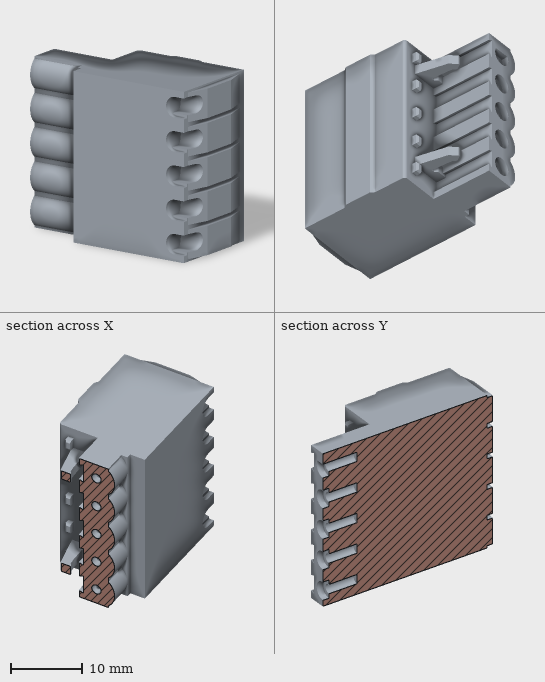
import cadquery as cq
import math

POLES = 5
LENGTH = 29.2
HEIGHT = 25.0
PITCH = HEIGHT / POLES

HOUSING_BACK_X = 28.25
HOUSING_TOP_Y = 14.57
FRONT_X = 10.05
FLANGE_X = 8.38
STEP_X = 9.15
FRONT_EDGE_RADIUS = 0.5
RIDGE_Y = 15.0
RIDGE_START_X = 15.48
RIDGE_END_X = 21.02
RIDGE_SLOPE_X = 0.6

PLUG_BOTTOM_Y = 2.37
PLUG_TOP_Y = 8.2
BARREL_VALLEY_Y = 3.4
BARREL_WIDTH = 4.3
SOCKET_Y = 5.37
SOCKET_RADIUS = 1.45
SOCKET_DEPTH = 1.02
CONTACT_RADIUS = 0.73
CONTACT_DEPTH = 5.85
KEYWAY_FLOOR_Y = 7.53
KEYWAY_FLOOR_WIDTH = 2.98
KEYWAY_MOUTH_WIDTH = 2.5

LUG_LENGTH = 1.02
LUG_BOTTOM_Y = 12.15
LUG_THICKNESS = 0.88
LUG_WIDTH = 1.6
LUG_CHAMFER = 0.25

HOOK_WIDTH = 1.55
HOOK_SPACING = 16.61
HOOK_TOP_Y = 12.4
HOOK_PROFILE = [
    (4.9, 11.25),
    (3.85, 10.22),
    (3.85, 10.05),
    (4.58, 9.52),
    (4.95, 9.55),
    (5.29, 9.85),
    (6.3, 9.95),
    (8.82, 10.05),
    (8.82, 9.6),
    (8.55, 9.4),
    (8.38, 9.2),
]

PAD_WIDTH = 4.3
PAD_BOTTOM_Y = 1.0
PAD_TOP_Y = 13.52
PAD_FLAT_BOTTOM_Y = 4.45
PAD_FLAT_TOP_Y = 10.13

ENTRY_START_X = 25.17
ENTRY_RADIUS = 1.52
ENTRY_LEDGE_Y = 0.75
ENTRY_LEDGE_OFFSET = 1.1
ENTRY_CREST_OFFSET = 0.32
ENTRY_DEPTH_Y = 3.62

pole_heights = [PITCH * (i + 0.5) for i in range(POLES)]


def plate(points, bottom_z, thickness):
    """Closed XY outline extruded upwards from bottom_z."""
    return cq.Workplane("XY").workplane(offset=bottom_z).polyline(points).close().extrude(thickness)


def make_housing():
    outline = [
        (0, PLUG_BOTTOM_Y),
        (STEP_X, PLUG_BOTTOM_Y),
        (STEP_X, 0),
        (HOUSING_BACK_X, 0),
        (HOUSING_BACK_X, HOUSING_TOP_Y),
        (RIDGE_END_X, HOUSING_TOP_Y),
        (RIDGE_END_X - RIDGE_SLOPE_X, RIDGE_Y),
        (RIDGE_START_X + RIDGE_SLOPE_X, RIDGE_Y),
        (RIDGE_START_X, HOUSING_TOP_Y),
        (FRONT_X, HOUSING_TOP_Y),
        (FRONT_X, PLUG_TOP_Y),
        (0, PLUG_TOP_Y),
    ]
    front_edge = cq.selectors.NearestToPointSelector((FRONT_X, HOUSING_TOP_Y, HEIGHT / 2))
    return plate(outline, 0, HEIGHT).edges(front_edge).fillet(FRONT_EDGE_RADIUS)


def make_pad(z):
    outline = [
        (HOUSING_BACK_X, PAD_BOTTOM_Y),
        (LENGTH, PAD_FLAT_BOTTOM_Y),
        (LENGTH, PAD_FLAT_TOP_Y),
        (HOUSING_BACK_X, PAD_TOP_Y),
    ]
    return plate(outline, z - PAD_WIDTH / 2, PAD_WIDTH)


def make_lug(z):
    lug = cq.Workplane("XY").box(LUG_LENGTH, LUG_THICKNESS, LUG_WIDTH, centered=(False, False, True))
    lug = lug.faces("<X").edges("not <Y").chamfer(LUG_CHAMFER)
    return lug.translate((FRONT_X - LUG_LENGTH, LUG_BOTTOM_Y, z))


def make_hook(z):
    root_x = HOOK_PROFILE[-1][0]
    outline = [
        (FRONT_X, HOOK_TOP_Y),
        *HOOK_PROFILE,
        (root_x, KEYWAY_FLOOR_Y),
        (FRONT_X, KEYWAY_FLOOR_Y),
    ]
    return plate(outline, z - HOOK_WIDTH / 2, HOOK_WIDTH)


def make_barrel_gaps():
    """Space left around the rounded barrels on the underside of the plug."""
    half_width = BARREL_WIDTH / 2
    gaps = cq.Workplane("XY").box(FLANGE_X, BARREL_VALLEY_Y, HEIGHT, centered=False)
    for z in pole_heights:
        barrel = (
            cq.Workplane("YZ")
            .moveTo(BARREL_VALLEY_Y, z - half_width)
            .threePointArc((PLUG_BOTTOM_Y, z), (BARREL_VALLEY_Y, z + half_width))
            .close()
            .extrude(FLANGE_X)
        )
        gaps = gaps.cut(barrel)
    return gaps


def make_socket(z, keyed):
    """Stepped contact bore; the keyed one has a flat level with the top of the contact bore."""
    mouth = cq.Workplane("YZ").center(SOCKET_Y, z).circle(SOCKET_RADIUS).extrude(SOCKET_DEPTH)
    if keyed:
        size = 2 * SOCKET_RADIUS
        key = cq.Workplane("XY").box(size, size, size, centered=(True, True, False))
        mouth = mouth.cut(key.translate((0, SOCKET_Y, z + CONTACT_RADIUS)))
    contact = cq.Workplane("YZ").center(SOCKET_Y, z).circle(CONTACT_RADIUS).extrude(CONTACT_DEPTH)
    return mouth.union(contact)


def make_keyway(z):
    """Dovetail groove in the upper side of the plug."""
    return (
        cq.Workplane("YZ")
        .polyline([
            (KEYWAY_FLOOR_Y, z - KEYWAY_FLOOR_WIDTH / 2),
            (KEYWAY_FLOOR_Y, z + KEYWAY_FLOOR_WIDTH / 2),
            (PLUG_TOP_Y, z + KEYWAY_MOUTH_WIDTH / 2),
            (PLUG_TOP_Y, z - KEYWAY_MOUTH_WIDTH / 2),
        ])
        .close()
        .extrude(FRONT_X)
    )


def make_wire_entry(z):
    """Round-ended pocket with a trough along X for a floor and a ledge on its lower side."""
    centre_x = ENTRY_START_X + ENTRY_RADIUS
    crest_z = z + ENTRY_CREST_OFFSET
    ledge_z = z - ENTRY_LEDGE_OFFSET
    upper_z = z + ENTRY_RADIUS
    lower_z = z - ENTRY_RADIUS
    upper_radius = upper_z - crest_z
    lower_radius = crest_z - ledge_z
    diagonal = math.sqrt(0.5)
    lower_centre_y = ENTRY_DEPTH_Y - lower_radius
    upper_centre_y = ENTRY_DEPTH_Y - upper_radius
    trough = (
        cq.Workplane("YZ", origin=(ENTRY_START_X, 0, 0))
        .moveTo(0, lower_z)
        .lineTo(ENTRY_LEDGE_Y, lower_z)
        .lineTo(ENTRY_LEDGE_Y, ledge_z)
        .lineTo(lower_centre_y, ledge_z)
        .threePointArc(
            (lower_centre_y + diagonal * lower_radius, crest_z - diagonal * lower_radius),
            (ENTRY_DEPTH_Y, crest_z),
        )
        .threePointArc(
            (upper_centre_y + diagonal * upper_radius, crest_z + diagonal * upper_radius),
            (upper_centre_y, upper_z),
        )
        .lineTo(0, upper_z)
        .close()
        .extrude(LENGTH - ENTRY_START_X)
    )
    rounded_end = (
        cq.Workplane("XZ")
        .moveTo(LENGTH, lower_z)
        .lineTo(centre_x, lower_z)
        .threePointArc((ENTRY_START_X, z), (centre_x, upper_z))
        .lineTo(LENGTH, upper_z)
        .close()
        .extrude(-ENTRY_DEPTH_Y)
    )
    return trough.intersect(rounded_end)


result = make_housing().cut(make_barrel_gaps())

for pole_z in pole_heights:
    result = result.union(make_pad(pole_z)).union(make_lug(pole_z))
    result = result.cut(make_keyway(pole_z))
    result = result.cut(make_socket(pole_z, keyed=pole_z == pole_heights[-1]))
    result = result.cut(make_wire_entry(pole_z))

for side in (-1, 1):
    result = result.union(make_hook(HEIGHT / 2 + side * HOOK_SPACING / 2))